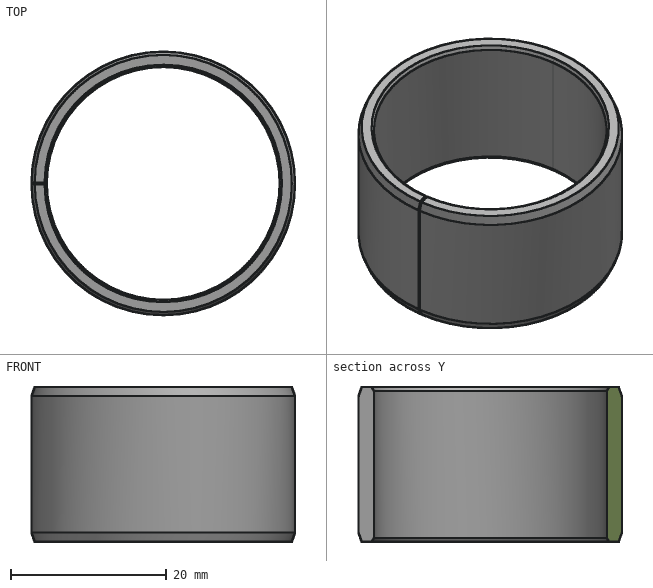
import cadquery as cq
import math

outer_diameter = 34.0
bore_diameter = 30.0
length = 20.0

outer_chamfer_length = 1.2
outer_chamfer_angle = 20.0
bore_chamfer_length = 0.5
bore_chamfer_depth = 0.3

slit_width = 0.22

outer_radius = outer_diameter / 2
bore_radius = bore_diameter / 2
outer_chamfer_depth = outer_chamfer_length * math.tan(math.radians(outer_chamfer_angle))


def make_sleeve():
    """Revolve the chamfered wall section around the Z axis."""
    end_outer_radius = outer_radius - outer_chamfer_depth
    end_bore_radius = bore_radius + bore_chamfer_depth
    return (
        cq.Workplane("XZ")
        .moveTo(end_bore_radius, 0)
        .lineTo(end_outer_radius, 0)
        .lineTo(outer_radius, outer_chamfer_length)
        .lineTo(outer_radius, length - outer_chamfer_length)
        .lineTo(end_outer_radius, length)
        .lineTo(end_bore_radius, length)
        .lineTo(bore_radius, length - bore_chamfer_length)
        .lineTo(bore_radius, bore_chamfer_length)
        .close()
        .revolve(360, (0, 0, 0), (0, 1, 0))
    )


def make_slit():
    """Cutter from the axis outwards in -X, spanning the full length."""
    return cq.Workplane("XY").box(
        outer_diameter, slit_width, length, centered=(True, True, False)
    ).translate((-outer_radius, 0, 0))


result = make_sleeve().cut(make_slit())